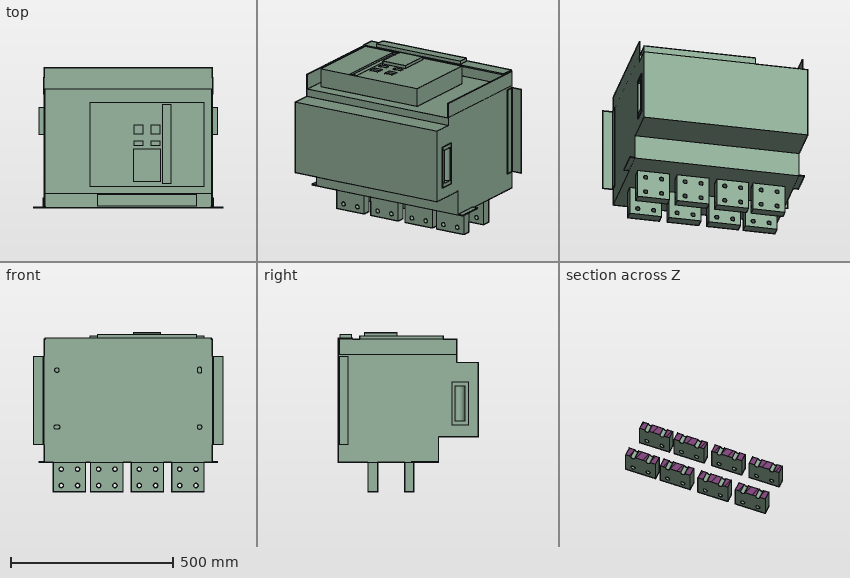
import cadquery as cq


HOUSING_WIDTH = 518.5
HOUSING_DEPTH = 432.0
SIDE_HEIGHT = 379.5
DECK_HEIGHT = 332.0
SIDE_THICKNESS = 3.0
UPPER_REAR = 365.5
LOWER_REAR = 309.5
REAR_BLOCK_BOTTOM = 78.5
REAR_BLOCK_TOP = 308.5
HALF_WIDTH = HOUSING_WIDTH / 2
DECK_WIDTH = HOUSING_WIDTH - 2 * SIDE_THICKNESS

SHEET_THICKNESS = 4.0
FLANGE_TOP = SIDE_HEIGHT + SHEET_THICKNESS
FLANGE_DEPTH = 44.5

SCREW_X = 220.0
SCREW_LOW_Z = 109.0
SCREW_HIGH_Z = 284.5
SCREW_DIAMETER = 14.0
SCREW_DEPTH = 11.5
SLOT_LENGTH = 19.0
SLOT_WIDTH = 13.0

PANEL_LEFT, PANEL_RIGHT = -118.0, 234.0
PANEL_FRONT, PANEL_REAR = 66.0, 324.0
PANEL_TOP = 390.0
COVER_LEFT, COVER_RIGHT = 16.0, 99.5
COVER_FRONT, COVER_REAR = 81.0, 181.5
COVER_TOP = 399.5
RECESS_DEPTH = 6.0
CHANNEL_LEFT, CHANNEL_RIGHT = 106.0, 131.0
CHANNEL_FRONT, CHANNEL_REAR = 74.5, 317.5
WINDOW_CENTRES_X = (31.5, 84.0)
WINDOW_WIDTH = 27.5
WINDOW_ROWS = ((192.0, 206.5), (227.5, 254.5))

PLATE_LEFT, PLATE_RIGHT = -95.5, 210.5
PLATE_FRONT, PLATE_REAR = 5.0, 41.0
PLATE_TOP = 394.0

EAR_SPAN = 585.0
EAR_BOTTOM, EAR_TOP = 54.5, 327.0
EAR_LEG_DEPTH = 30.0
EAR_THICKNESS = 3.0
EAR_BEND_RADIUS = 4.0

FOOT_SPAN = 551.5
FOOT_LENGTH = 84.0
FOOT_THICKNESS = 3.0

FRAME_THICKNESS = 2.05
FRAME_FRONT, FRAME_REAR = 351.0, 401.5
FRAME_BOTTOM, FRAME_TOP = 114.5, 247.5
POCKET_Y = 375.0
POCKET_WIDTH = 31.0
POCKET_BOTTOM, POCKET_TOP = 127.5, 234.5

BAR_CENTRES_X = (-181.5, -66.0, 59.0, 183.5)
BAR_ROWS = ((91.0, 122.0), (205.0, 233.5))
BAR_WIDTH = 100.5
BAR_LENGTH = 90.5
BAR_HOLE_DIAMETER = 13.0
BAR_HOLE_PITCH = 50.5
BAR_HOLE_CENTRE_Z = -46.0


def box(x0, x1, y0, y1, z0, z1):
    """Box between two opposite corners."""
    return cq.Workplane("XY").box(x1 - x0, y1 - y0, z1 - z0, centered=False).translate((x0, y0, z0))


def make_housing():
    """Full-width body at side plate height, cut down to the deck between the plates."""
    profile = [
        (0, 0),
        (LOWER_REAR, 0),
        (LOWER_REAR, REAR_BLOCK_BOTTOM),
        (HOUSING_DEPTH, REAR_BLOCK_BOTTOM),
        (HOUSING_DEPTH, REAR_BLOCK_TOP),
        (UPPER_REAR, REAR_BLOCK_TOP),
        (UPPER_REAR, SIDE_HEIGHT),
        (0, SIDE_HEIGHT),
    ]
    body = cq.Workplane("YZ").polyline(profile).close().extrude(HALF_WIDTH, both=True)
    half_deck = DECK_WIDTH / 2
    well = box(-half_deck, half_deck, SHEET_THICKNESS, UPPER_REAR, DECK_HEIGHT, SIDE_HEIGHT)
    flange = box(-half_deck, half_deck, 0, FLANGE_DEPTH, SIDE_HEIGHT, FLANGE_TOP)
    return body.cut(well).union(flange)


def make_panel():
    """Raised operating panel with its cover, windows and channel."""
    panel = box(PANEL_LEFT, PANEL_RIGHT, PANEL_FRONT, PANEL_REAR, DECK_HEIGHT, PANEL_TOP)
    recess_floor = PANEL_TOP - RECESS_DEPTH
    panel = panel.cut(
        box(CHANNEL_LEFT, CHANNEL_RIGHT, CHANNEL_FRONT, CHANNEL_REAR, recess_floor, PANEL_TOP)
    )
    for centre_x in WINDOW_CENTRES_X:
        left = centre_x - WINDOW_WIDTH / 2
        for front, rear in WINDOW_ROWS:
            panel = panel.cut(box(left, left + WINDOW_WIDTH, front, rear, recess_floor, PANEL_TOP))
    return panel.union(box(COVER_LEFT, COVER_RIGHT, COVER_FRONT, COVER_REAR, PANEL_TOP, COVER_TOP))


def make_left_ear():
    """Angle with a leg along the housing side and a plate pointing outwards."""
    leg_outer = -HALF_WIDTH - EAR_THICKNESS
    outline = (
        cq.Workplane("XY", origin=(0, 0, EAR_BOTTOM))
        .moveTo(-EAR_SPAN / 2, 0)
        .lineTo(-HALF_WIDTH - EAR_BEND_RADIUS, 0)
        .radiusArc((-HALF_WIDTH, EAR_BEND_RADIUS), -EAR_BEND_RADIUS)
        .lineTo(-HALF_WIDTH, EAR_LEG_DEPTH)
        .lineTo(leg_outer, EAR_LEG_DEPTH)
        .lineTo(leg_outer, EAR_THICKNESS)
        .lineTo(-EAR_SPAN / 2, EAR_THICKNESS)
        .close()
    )
    return outline.extrude(EAR_TOP - EAR_BOTTOM)


def make_left_fittings():
    """Ear, foot and handle frame of the left side."""
    foot_front = LOWER_REAR - FOOT_LENGTH
    foot = box(-FOOT_SPAN / 2, -HALF_WIDTH, foot_front, LOWER_REAR, 0, FOOT_THICKNESS)
    frame = box(
        -HALF_WIDTH - FRAME_THICKNESS, -HALF_WIDTH, FRAME_FRONT, FRAME_REAR, FRAME_BOTTOM, FRAME_TOP
    )
    return [make_left_ear(), foot, frame]


def make_left_pocket():
    """Half-round finger pocket, its axis in the outer face of the left frame."""
    return (
        cq.Workplane("XY", origin=(-HALF_WIDTH - FRAME_THICKNESS, POCKET_Y, POCKET_BOTTOM))
        .circle(POCKET_WIDTH / 2)
        .extrude(POCKET_TOP - POCKET_BOTTOM)
    )


def make_bar(centre_x, front, rear):
    """Terminal bar hanging below the housing, with a square of four through holes."""
    half = BAR_WIDTH / 2
    bar = box(centre_x - half, centre_x + half, front, rear, -BAR_LENGTH, 0)
    holes = (
        cq.Workplane("XZ", origin=(centre_x, rear, BAR_HOLE_CENTRE_Z))
        .rarray(BAR_HOLE_PITCH, BAR_HOLE_PITCH, 2, 2)
        .circle(BAR_HOLE_DIAMETER / 2)
        .extrude(rear - front)
    )
    return bar.cut(holes)


def make_slot(centre_x, centre_z, angle):
    """Cutter for one adjustment slot, turned by the given angle from level."""
    return (
        cq.Workplane("XZ", origin=(centre_x, SCREW_DEPTH, centre_z))
        .slot2D(SLOT_LENGTH, SLOT_WIDTH, angle)
        .extrude(SCREW_DEPTH)
    )


def make_screw_holes():
    """Two round holes on one diagonal, a level and an upright slot on the other."""
    round_holes = (
        cq.Workplane("XZ", origin=(0, SCREW_DEPTH, 0))
        .pushPoints([(-SCREW_X, SCREW_HIGH_Z), (SCREW_X, SCREW_LOW_Z)])
        .circle(SCREW_DIAMETER / 2)
        .extrude(SCREW_DEPTH)
    )
    level_slot = make_slot(-SCREW_X, SCREW_LOW_Z, 0)
    upright_slot = make_slot(SCREW_X, SCREW_HIGH_Z, 90)
    return [round_holes, level_slot, upright_slot]


result = make_housing().union(make_panel())
result = result.union(box(PLATE_LEFT, PLATE_RIGHT, PLATE_FRONT, PLATE_REAR, FLANGE_TOP, PLATE_TOP))

for bar_x in BAR_CENTRES_X:
    for bar_front, bar_rear in BAR_ROWS:
        result = result.union(make_bar(bar_x, bar_front, bar_rear))

for fitting in make_left_fittings():
    result = result.union(fitting).union(fitting.mirror("YZ"))

pocket = make_left_pocket()
result = result.cut(pocket).cut(pocket.mirror("YZ"))

for hole in make_screw_holes():
    result = result.cut(hole)